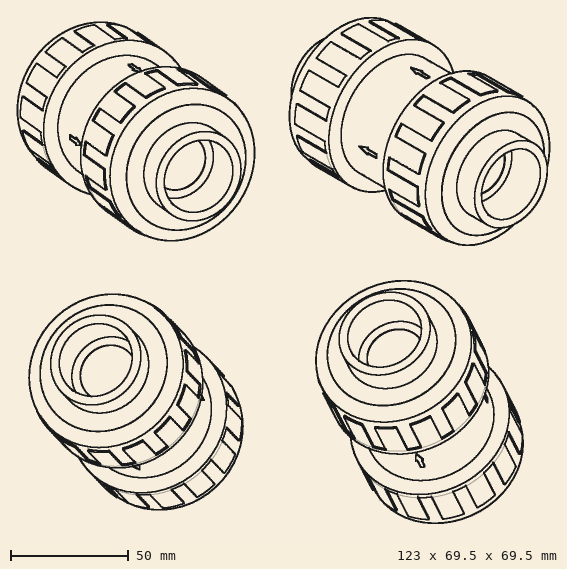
import cadquery as cq
import math

total_length = 123.0
nut_length = 31.2
left_pipe_length = 11.9
right_pipe_length = 12.2

nut_diameter = 69.5
rib_height = 0.7
nut_face_diameter = 55.4
nut_chamfer_length = 3.8
band_length = 4.7
rib_length = 19.9
rib_count = 14
rib_gap_angle = 10.0

body_diameter = 56.1
pipe_diameter = 39.9
socket_diameter = 32.2
socket_depth = 19.2
seat_diameter = 24.8
seat_depth = 0.4

arrow_count = 4
arrow_length = 11.7
arrow_head_length = 5.8
arrow_shaft_width = 1.8
arrow_head_width = 3.5
arrow_height = 0.4

left_end = -total_length / 2
right_end = total_length / 2
left_nut_face = left_end + left_pipe_length
right_nut_face = right_end - right_pipe_length
body_center = (left_nut_face + right_nut_face) / 2
body_radius = body_diameter / 2
nut_radius = nut_diameter / 2
band_radius = nut_radius - rib_height


def cylinder(start, length, diameter):
    """Cylinder on the X axis, growing toward +X for a positive length."""
    return cq.Workplane("YZ", origin=(start, 0, 0)).circle(diameter / 2).extrude(length)


def rib(angle):
    """Sector from the axis out to the nut radius, its first edge on +Z, then turned about X."""
    half_width = math.radians(360 / rib_count - rib_gap_angle) / 2
    return (
        cq.Workplane("YZ", origin=(nut_chamfer_length + band_length, 0, 0))
        .lineTo(0, nut_radius)
        .threePointArc(
            (-nut_radius * math.sin(half_width), nut_radius * math.cos(half_width)),
            (-nut_radius * math.sin(2 * half_width), nut_radius * math.cos(2 * half_width)),
        )
        .close()
        .extrude(rib_length)
        .rotate((0, 0, 0), (1, 0, 0), angle)
    )


def union_nut():
    """Ribbed nut with its chamfered outer face at X = 0 and its collar toward +X."""
    nut = (
        cq.Workplane("XY")
        .lineTo(0, nut_face_diameter / 2)
        .lineTo(nut_chamfer_length, band_radius)
        .lineTo(nut_length, band_radius)
        .lineTo(nut_length, 0)
        .close()
        .revolve(360, (0, 0, 0), (1, 0, 0))
    )
    collar_start = nut_chamfer_length + band_length + rib_length
    nut = nut.union(cylinder(collar_start, nut_length - collar_start, nut_diameter))
    for i in range(rib_count):
        nut = nut.union(rib(i * 360 / rib_count))
    return nut


def flow_arrow(angle):
    """Arrow pointing toward +X, raised from the top of the body and turned about X."""
    tail = -arrow_length / 2
    tip = arrow_length / 2
    neck = tip - arrow_head_length
    shaft = arrow_shaft_width / 2
    head = arrow_head_width / 2
    return (
        cq.Workplane("XY", origin=(body_center, 0, 0))
        .polyline([
            (tail, -shaft), (neck, -shaft), (neck, -head), (tip, 0),
            (neck, head), (neck, shaft), (tail, shaft),
        ])
        .close()
        .extrude(body_radius + arrow_height)
        .rotate((0, 0, 0), (1, 0, 0), angle)
    )


result = cylinder(left_end, total_length, pipe_diameter)
result = result.union(cylinder(left_nut_face, right_nut_face - left_nut_face, body_diameter))

left_nut = union_nut().translate((left_nut_face, 0, 0))
right_nut = union_nut().rotate((0, 0, 0), (0, 0, 1), 180).translate((right_nut_face, 0, 0))
result = result.union(left_nut).union(right_nut)

for i in range(arrow_count):
    result = result.union(flow_arrow(i * 360 / arrow_count))

for end, inward in ((left_end, 1), (right_end, -1)):
    result = result.cut(cylinder(end, inward * socket_depth, socket_diameter))
    result = result.cut(cylinder(end, inward * (socket_depth + seat_depth), seat_diameter))